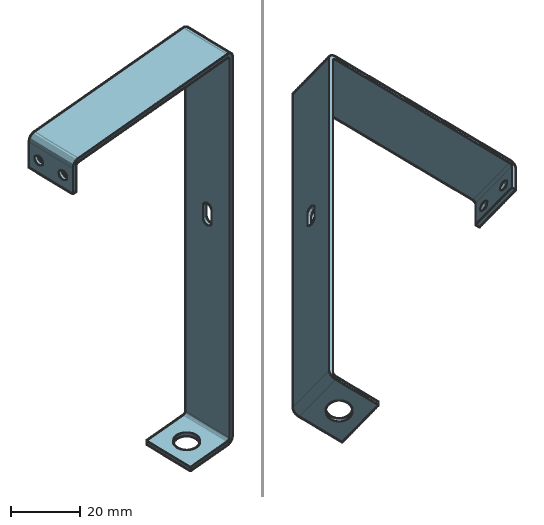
import cadquery as cq

width = 17.5
depth = 68.0
height = 149.0
thickness = 1.5
inner_bend_radius = 0.9
outer_bend_radius = inner_bend_radius + thickness

foot_length = 18.0
lip_length = 12.2

foot_hole_diameter = 7.7
foot_hole_from_back = 10.3
lip_hole_diameter = 3.3
lip_hole_spacing = 9.5
lip_hole_from_top = 7.3
slot_width = 3.3
slot_length = 8.2
slot_height = 82.4

back = depth
front = 0.0
foot_tip = back - foot_length
lip_tip = height - lip_length


def bent_strip():
    """Side outline of the folded strip, extruded across its width."""
    outline = (
        cq.Workplane("YZ")
        .moveTo(foot_tip, 0)
        .lineTo(back, 0)
        .lineTo(back, height)
        .lineTo(front, height)
        .lineTo(front, lip_tip)
        .lineTo(front + thickness, lip_tip)
        .lineTo(front + thickness, height - thickness)
        .lineTo(back - thickness, height - thickness)
        .lineTo(back - thickness, thickness)
        .lineTo(foot_tip, thickness)
        .close()
        .extrude(width / 2, both=True)
    )
    outer_bends = [(back, 0), (back, height), (front, height)]
    inner_bends = [
        (back - thickness, thickness),
        (back - thickness, height - thickness),
        (front + thickness, height - thickness),
    ]
    strip = round_bends(outline, outer_bends, outer_bend_radius)
    return round_bends(strip, inner_bends, inner_bend_radius)


def round_bends(strip, bends, radius):
    """Round the edges along X that pass through the given (Y, Z) places."""
    for y, z in bends:
        strip = strip.edges(cq.selectors.NearestToPointSelector((0, y, z))).fillet(radius)
    return strip


def foot_hole():
    return (
        cq.Workplane("XY")
        .center(0, back - foot_hole_from_back)
        .circle(foot_hole_diameter / 2)
        .extrude(thickness)
    )


def lip_holes():
    half_spacing = lip_hole_spacing / 2
    hole_height = height - lip_hole_from_top
    return (
        cq.Workplane("XZ", origin=(0, front, 0))
        .pushPoints([(-half_spacing, hole_height), (half_spacing, hole_height)])
        .circle(lip_hole_diameter / 2)
        .extrude(-thickness)
    )


def upright_slot():
    return (
        cq.Workplane("XZ", origin=(0, back, 0))
        .center(0, slot_height)
        .slot2D(slot_length, slot_width, 90)
        .extrude(thickness)
    )


result = bent_strip()
result = result.cut(foot_hole()).cut(lip_holes()).cut(upright_slot())